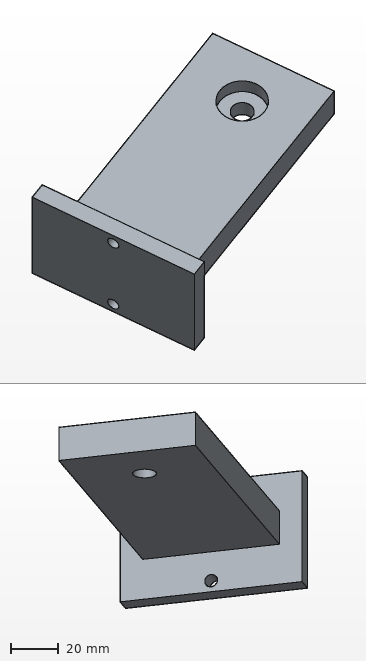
import cadquery as cq

plate_width = 80.0
plate_thickness = 8.0
plate_height = 50.0
plate_hole_diameter = 5.5
plate_hole_edge_distance = 5.0

arm_width = 60.0
arm_length = 120.0
arm_thickness = 15.0
arm_underside_height = 18.0

arm_hole_diameter = 10.0
counterbore_diameter = 22.0
counterbore_depth = 7.0
arm_hole_end_distance = 25.0

arm_end_y = plate_thickness + arm_length
arm_hole_y = arm_end_y - arm_hole_end_distance
arm_bottom_z = arm_underside_height - plate_height / 2
arm_top_z = arm_bottom_z + arm_thickness
plate_hole_z = plate_height / 2 - plate_hole_edge_distance


def make_plate():
    """Upright plate with a through hole near its top and bottom edges."""
    plate = cq.Workplane("XY").box(
        plate_width, plate_thickness, plate_height, centered=(True, False, True)
    )
    holes = (
        cq.Workplane("XZ")
        .pushPoints([(0, plate_hole_z), (0, -plate_hole_z)])
        .circle(plate_hole_diameter / 2)
        .extrude(-plate_thickness)
    )
    return plate.cut(holes)


def make_arm():
    """Flat arm with a through hole counterbored from the top."""
    arm = (
        cq.Workplane("XY")
        .box(arm_width, arm_length, arm_thickness, centered=(True, False, False))
        .translate((0, plate_thickness, arm_bottom_z))
    )
    return (
        arm.faces(">Z")
        .workplane(origin=(0, arm_hole_y, arm_top_z))
        .cboreHole(arm_hole_diameter, counterbore_diameter, counterbore_depth)
    )


result = make_plate().union(make_arm())